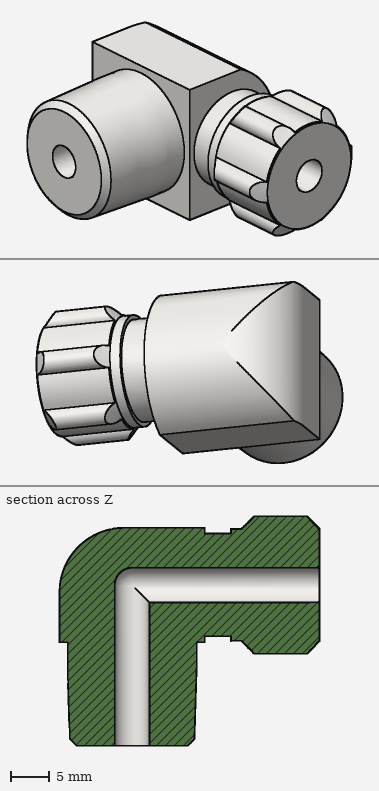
import cadquery as cq

bore_diameter = 4.5

body_width = 19.0
body_depth = 15.0
crown_radius = 10.5
corner_radius = 8.5
body_half_width = body_width / 2
body_back = body_depth / 2
body_front = -body_depth / 2

stub_diameter = 16.92
stub_length = 13.5
stub_straight_length = 3.0
stub_chamfer = 0.9
stub_taper = 1 / 16

neck_diameter = 13.5
neck_length = 3.4
collar_diameter = 14.7
collar_length = 1.4
coupling_length = 15.0
grip_diameter = 15.0
rib_count = 6
rib_radius = 1.5
coupling_end = body_half_width + coupling_length
collar_start = body_half_width + neck_length
grip_start = collar_start + collar_length
rib_tip_radius = grip_diameter / 2 + rib_radius
grip_chamfer = rib_tip_radius - collar_diameter / 2


def cylinder_x(diameter, start, end):
    """Cylinder on the X axis between two X positions."""
    return cq.Workplane("YZ", origin=(start, 0, 0)).circle(diameter / 2).extrude(end - start)


def make_body():
    block = cq.Workplane("XY").box(body_width, body_depth, body_width)
    block = block.edges("|Z and <X and >Y").fillet(corner_radius)
    crown = cylinder_x(2 * crown_radius, -body_half_width, body_half_width)
    crown = crown.translate((0, body_back - crown_radius, 0))
    front_fill = (
        cq.Workplane("XY")
        .box(body_width, body_depth / 2, body_width)
        .translate((0, body_front / 2, 0))
    )
    return block.intersect(crown.union(front_fill))


def make_stub():
    base_radius = stub_diameter / 2
    tip = body_front - stub_length
    taper_start = body_front - stub_straight_length
    taper_end = tip + stub_chamfer
    taper_end_radius = base_radius - (taper_start - taper_end) * stub_taper / 2
    profile = [
        (0, body_front),
        (base_radius, body_front),
        (base_radius, taper_start),
        (taper_end_radius, taper_end),
        (taper_end_radius - stub_chamfer, tip),
        (0, tip),
    ]
    return cq.Workplane("XY").polyline(profile).close().revolve(360, (0, 0), (0, 1))


def make_grip():
    """Ribbed nut, chamfered at 45 degrees down to the collar diameter at both ends."""
    grip = cylinder_x(grip_diameter, grip_start, coupling_end)
    ribs = (
        cq.Workplane("YZ", origin=(grip_start, 0, 0))
        .polarArray(grip_diameter / 2, 0, 360, rib_count)
        .circle(rib_radius)
        .extrude(coupling_end - grip_start)
    )
    envelope = cylinder_x(2 * rib_tip_radius, grip_start, coupling_end)
    envelope = envelope.edges("%CIRCLE").chamfer(grip_chamfer)
    return grip.union(ribs).intersect(envelope)


def make_coupling():
    neck = cylinder_x(neck_diameter, body_half_width, collar_start)
    collar = cylinder_x(collar_diameter, collar_start, grip_start)
    return neck.union(collar).union(make_grip())


def make_bore():
    """Two drillings that meet at the origin in a ball-shaped corner."""
    radius = bore_diameter / 2
    stub_bore = cq.Workplane("XZ").circle(radius).extrude(stub_length - body_front)
    coupling_bore = cylinder_x(bore_diameter, 0, coupling_end)
    return stub_bore.union(coupling_bore).union(cq.Workplane("XY").sphere(radius))


result = make_body().union(make_stub()).union(make_coupling()).cut(make_bore())